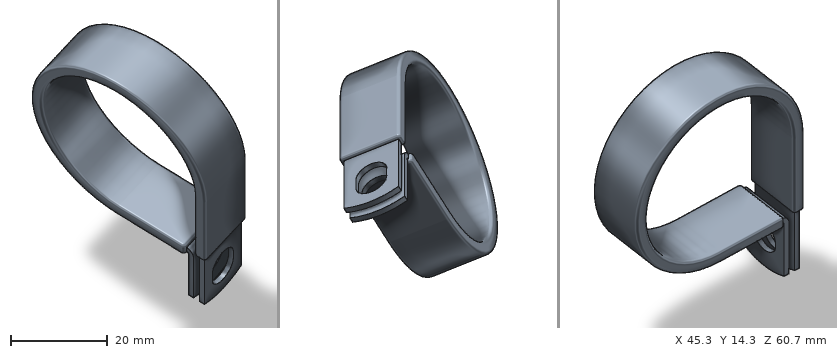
import cadquery as cq
import math


loop_outer_radius = 22.645
strap_width = 12.7
strap_thickness = 1.27
cushion_wall = 0.794
tab_gap = 1.54
bend_inner_radius = cushion_wall
cushion_end_x = 17.25
overall_height = 60.66
tab_tip_radius = 15.875
hole_diameter = 7.14
slot_length = 9.525
hole_to_tip = 7.94

cushion_width = strap_width + 2 * cushion_wall
cushion_thickness = strap_thickness + 2 * cushion_wall
loop_inner_radius = loop_outer_radius - cushion_thickness
strap_inner_radius = loop_inner_radius + cushion_wall
strap_outer_radius = strap_inner_radius + strap_thickness
bend_outer_radius = bend_inner_radius + strap_thickness
inner_tab_right = strap_inner_radius - tab_gap
gap_middle_x = inner_tab_right + tab_gap / 2
bend_center_x = inner_tab_right - bend_outer_radius
bend_center_z = -strap_outer_radius - bend_inner_radius
tip_z = loop_outer_radius - overall_height
hole_z = tip_z + hole_to_tip
cushion_end_z = -strap_inner_radius
diagonal = math.sqrt(0.5)


def band(inner_radius, outer_radius, end_x, end_z, width):
    """270 degree loop with a straight run along the bottom and one down the right side."""
    return (
        cq.Workplane("XZ")
        .moveTo(end_x, -outer_radius)
        .lineTo(0, -outer_radius)
        .threePointArc((-outer_radius * diagonal, outer_radius * diagonal), (outer_radius, 0))
        .lineTo(outer_radius, end_z)
        .lineTo(inner_radius, end_z)
        .lineTo(inner_radius, 0)
        .threePointArc((-inner_radius * diagonal, inner_radius * diagonal), (0, -inner_radius))
        .lineTo(end_x, -inner_radius)
        .close()
        .extrude(width / 2, both=True)
    )


def is_end_edge(edge):
    """True for cross edges beyond both tangent lines of the loop arc, at the cushion ends."""
    return edge.Center().x > cushion_wall and edge.Center().z < -cushion_wall


def make_cushion():
    """Cushion with every outside edge rounded over the strap."""
    blank = band(loop_inner_radius, loop_outer_radius, cushion_end_x, cushion_end_z, cushion_width)
    side_edges = blank.faces("<Y or >Y").edges()
    end_edges = blank.edges("|Y").filter(is_end_edge)
    return side_edges.add(end_edges).fillet(cushion_wall)


def make_inner_tab():
    """Tab bent down from the end of the lower strap run."""
    inner_tab_left = inner_tab_right - strap_thickness
    bend_mid_outer = (
        bend_center_x + bend_outer_radius * diagonal,
        bend_center_z + bend_outer_radius * diagonal,
    )
    bend_mid_inner = (
        bend_center_x + bend_inner_radius * diagonal,
        bend_center_z + bend_inner_radius * diagonal,
    )
    return (
        cq.Workplane("XZ")
        .moveTo(bend_center_x, -strap_inner_radius)
        .threePointArc(bend_mid_outer, (inner_tab_right, bend_center_z))
        .lineTo(inner_tab_right, tip_z)
        .lineTo(inner_tab_left, tip_z)
        .lineTo(inner_tab_left, bend_center_z)
        .threePointArc(bend_mid_inner, (bend_center_x, -strap_outer_radius))
        .close()
        .extrude(strap_width / 2, both=True)
    )


def make_tab_envelope():
    """Tab outline with the rounded lower end, extruded along X across both tabs."""
    half_width = strap_width / 2
    tip_rise = tab_tip_radius - math.sqrt(tab_tip_radius**2 - half_width**2)
    return (
        cq.Workplane("YZ")
        .moveTo(-half_width, loop_outer_radius)
        .lineTo(-half_width, tip_z + tip_rise)
        .threePointArc((0, tip_z), (half_width, tip_z + tip_rise))
        .lineTo(half_width, loop_outer_radius)
        .close()
        .extrude(loop_outer_radius, both=True)
    )


def make_bolt_hole():
    """Round bolt hole in the inner tab, ending in the gap between the tabs."""
    return (
        cq.Workplane("YZ", origin=(0, 0, hole_z))
        .circle(hole_diameter / 2)
        .extrude(gap_middle_x)
    )


def make_bolt_slot():
    """Upright slot in the outer tab, centred on the bolt hole and as wide as it."""
    return (
        cq.Workplane("YZ", origin=(gap_middle_x, 0, hole_z))
        .slot2D(slot_length, hole_diameter, 90)
        .extrude(loop_outer_radius - gap_middle_x)
    )


strap = band(strap_inner_radius, strap_outer_radius, bend_center_x, tip_z, strap_width)
strap = strap.union(make_inner_tab())
strap = strap.intersect(make_tab_envelope())
strap = strap.cut(make_bolt_hole())
strap = strap.cut(make_bolt_slot())

result = make_cushion().union(strap)